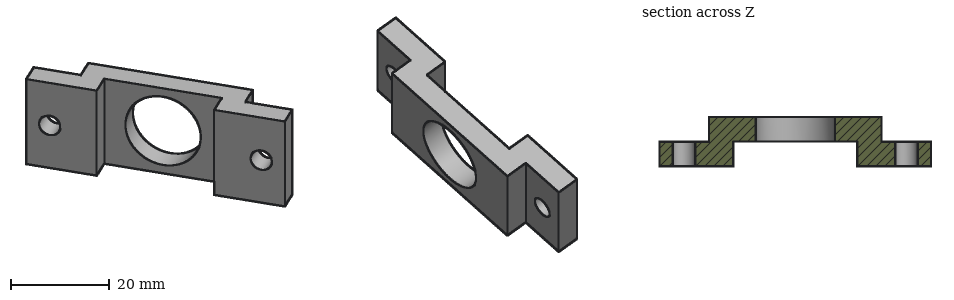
import cadquery as cq

length = 55.0
height = 20.0
foot_length = 15.0
foot_thickness = 5.0
bridge_length = 35.0
bridge_thickness = 5.0
bore_diameter = 16.0
screw_hole_diameter = 4.5
screw_hole_edge_distance = 5.0

depth = foot_thickness + bridge_thickness
half_length = length / 2
half_bridge = bridge_length / 2
half_gap = half_length - foot_length
screw_hole_x = half_length - screw_hole_edge_distance


def bracket_body():
    """Stepped bracket: a raised bridge resting on two feet, extruded along Z."""
    outline = [
        (-half_length, 0),
        (-half_gap, 0),
        (-half_gap, foot_thickness),
        (half_gap, foot_thickness),
        (half_gap, 0),
        (half_length, 0),
        (half_length, foot_thickness),
        (half_bridge, foot_thickness),
        (half_bridge, depth),
        (-half_bridge, depth),
        (-half_bridge, foot_thickness),
        (-half_length, foot_thickness),
    ]
    return cq.Workplane("XY").polyline(outline).close().extrude(height / 2, both=True)


def cross_hole(x, diameter):
    """Cutter for a round hole along Y at mid height, through the full depth."""
    return cq.Workplane("XZ").center(x, 0).circle(diameter / 2).extrude(-depth)


result = bracket_body().cut(cross_hole(0, bore_diameter))
for side in (-1, 1):
    result = result.cut(cross_hole(side * screw_hole_x, screw_hole_diameter))